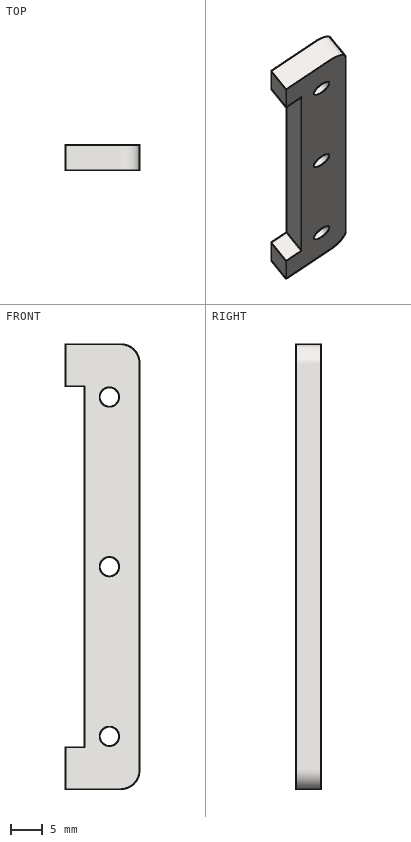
import cadquery as cq

width = 11.7
thickness = 4.0
height = 70.0

recess_depth = 3.0
tab_height = 6.65

corner_radius = 3.0

hole_diameter = 3.0
hole_from_left = 6.9
hole_spacing = 26.7


def make_bar():
    """Upright bar, centred on the origin, with two rounded right-hand corners."""
    bar = cq.Workplane("XY").box(width, thickness, height)
    return bar.edges("|Y and >X").fillet(corner_radius)


def make_recess():
    """Block that clears the left edge between the end tabs."""
    recess_height = height - 2 * tab_height
    recess_center_x = -width / 2 + recess_depth / 2
    block = cq.Workplane("XY").box(recess_depth, thickness, recess_height)
    return block.translate((recess_center_x, 0, 0))


def make_holes():
    """Three evenly spaced cylinders running through the thickness."""
    hole_x = -width / 2 + hole_from_left
    centers = [(hole_x, row * hole_spacing) for row in (-1, 0, 1)]
    plane = cq.Workplane("XZ").pushPoints(centers)
    return plane.circle(hole_diameter / 2).extrude(thickness / 2, both=True)


result = make_bar().cut(make_recess()).cut(make_holes())